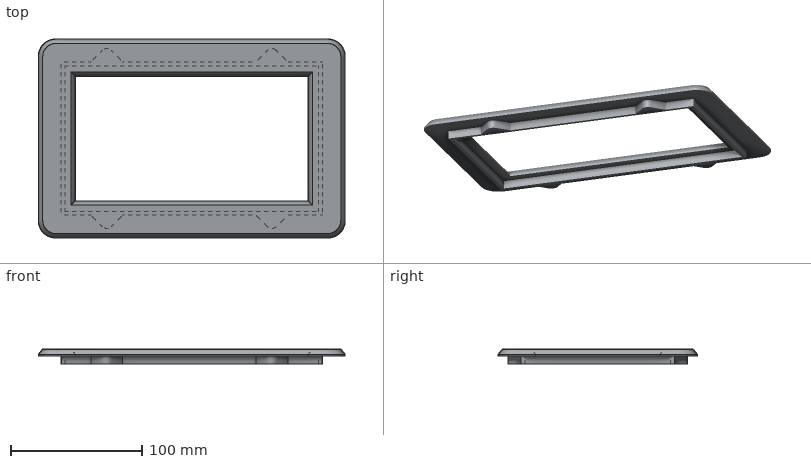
import cadquery as cq
import math

plate_length = 234.27
plate_width = 152.02
plate_thickness = 5.45
corner_radius = 13.5

bevel_inset = 3.4
rim_height = 1.45
bevel_height = plate_thickness - rim_height

draft_height = 0.7
draft_inset = 0.08

window_length = 177.6
window_width = 95.0

total_height = 11.45
skirt_height = total_height - plate_thickness
skirt_length = 199.3
skirt_width = 117.0
skirt_wall = 3.0

tab_spacing = 126.0
tab_row_center = -1.85
tab_reach = 10.1
tab_tip_radius = 5.0
tab_flank_angle = math.radians(45)


def make_plate():
    """Rounded plate with a bevelled top edge."""
    blank = cq.Workplane("XY").rect(plate_length, plate_width).extrude(plate_thickness)
    rounded = blank.edges("|Z").fillet(corner_radius)
    return rounded.faces(">Z").edges().chamfer(bevel_height, bevel_inset)


def make_window():
    """Cutter for the window: a straight lower part that flares out towards the top."""
    straight = cq.Workplane("XY").rect(window_length, window_width).extrude(rim_height)
    flare = (
        cq.Workplane("XY", origin=(0, 0, rim_height))
        .rect(window_length, window_width)
        .workplane(offset=bevel_height)
        .rect(window_length + 2 * bevel_inset, window_width + 2 * bevel_inset)
        .loft(ruled=True)
    )
    return straight.union(flare)


def make_bezel():
    """Plate with its window, drafted along the outer and inner bottom edges."""
    bezel = make_plate().cut(make_window())
    return bezel.faces("<Z").edges().chamfer(draft_height, draft_inset)


def make_tab(center_x):
    """One lug on the -Y side; straight flanks run tangent into the round tip.

    The root reaches back to the inner face of the skirt wall so the lug fuses with it.
    """
    skirt_face = -skirt_width / 2
    tip = skirt_face - tab_reach
    tangent_half_width = tab_tip_radius * math.sin(tab_flank_angle)
    tangent_y = tip + tab_tip_radius * (1 - math.cos(tab_flank_angle))
    root_y = skirt_face + skirt_wall
    root_half_width = tangent_half_width + (root_y - tangent_y) / math.tan(tab_flank_angle)
    return (
        cq.Workplane("XY")
        .moveTo(center_x - root_half_width, root_y)
        .lineTo(center_x - tangent_half_width, tangent_y)
        .threePointArc((center_x, tip), (center_x + tangent_half_width, tangent_y))
        .lineTo(center_x + root_half_width, root_y)
        .close()
        .extrude(-skirt_height)
    )


def make_skirt():
    """Rectangular frame with a pair of lugs on each long side."""
    skirt = (
        cq.Workplane("XY")
        .rect(skirt_length, skirt_width)
        .rect(skirt_length - 2 * skirt_wall, skirt_width - 2 * skirt_wall)
        .extrude(-skirt_height)
    )
    for side in (-1, 1):
        tab = make_tab(tab_row_center + side * tab_spacing / 2)
        skirt = skirt.union(tab).union(tab.mirror("XZ"))
    return skirt


result = make_bezel().union(make_skirt())